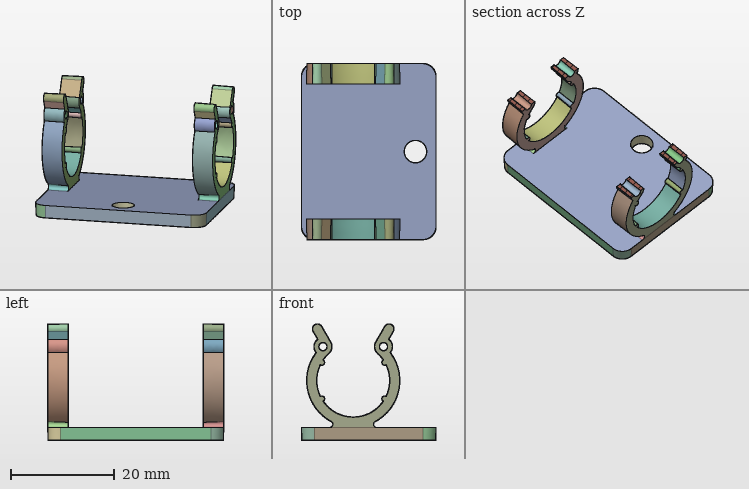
import cadquery as cq
import math

plate_draft = 2
clip_draft = 1

plate_width = 26.0
plate_depth = 34.0
plate_thickness = 2.5
corner_radius = 2.5
mount_hole_diameter = 4.3
mount_hole_x = 9.0

overall_height = 22.47
clip_width = 4.0
clip_end_inset = clip_width * math.tan(math.radians(clip_draft))
clip_x = -3.0
ring_outer_radius = 9.0
ring_inner_radius = 7.0
ring_center_z = plate_thickness + ring_outer_radius
neck_fillet = 0.6

rib_radius = 0.58
rib_angles = (30, 150, 210, 330)

eye_radius = 1.77
eye_hole_diameter = 1.5
eye_angle = 48.3
eye_distance = ring_inner_radius + eye_radius

arm_radius = 1.0
arm_slope = 60


def polar(radius, degrees):
    angle = math.radians(degrees)
    return (radius * math.cos(angle), radius * math.sin(angle))


def shifted(point, offset):
    return (point[0] + offset[0], point[1] + offset[1])


def profile():
    """Inner face of the front clip, centred on the ring axis; extrusions run to its end face."""
    return cq.Workplane("XZ")


def disc(radius, center, taper=clip_draft):
    return profile().center(*center).circle(radius).extrude(clip_width, taper=taper)


def make_plate():
    outline = cq.Sketch().rect(plate_width, plate_depth).vertices().fillet(corner_radius)
    return (
        cq.Workplane("XY", origin=(0, 0, plate_thickness))
        .placeSketch(outline)
        .extrude(-plate_thickness, taper=plate_draft)
        .faces(">Z")
        .workplane(origin=(mount_hole_x, 0, 0))
        .hole(mount_hole_diameter)
    )


def make_ring():
    """Ring open at the top between the two eyes."""
    right_outer = polar(ring_outer_radius, eye_angle)
    left_outer = polar(ring_outer_radius, 180 - eye_angle)
    right_inner = polar(ring_inner_radius, eye_angle)
    left_inner = polar(ring_inner_radius, 180 - eye_angle)
    return (
        profile()
        .moveTo(*right_outer)
        .threePointArc((0, -ring_outer_radius), left_outer)
        .lineTo(*left_inner)
        .threePointArc((0, -ring_inner_radius), right_inner)
        .close()
        .extrude(clip_width, taper=clip_draft)
    )


def make_neck():
    """Foot whose concave sides are tangent to the plate and to the ring at the clip's end."""
    fillet_z = neck_fillet - ring_outer_radius
    ring_end_radius = ring_outer_radius - clip_end_inset
    fillet_x = math.sqrt((ring_end_radius + neck_fillet) ** 2 - fillet_z**2)
    fillet_center = (fillet_x, fillet_z)
    plate_point = (fillet_x, -ring_outer_radius)
    contact_angle = math.degrees(math.atan2(-fillet_z, -fillet_x))
    plate_angle = 270
    ring_point = shifted(fillet_center, polar(neck_fillet, contact_angle))
    middle_point = shifted(fillet_center, polar(neck_fillet, (contact_angle + plate_angle) / 2))
    return (
        profile()
        .moveTo(*plate_point)
        .threePointArc(middle_point, ring_point)
        .lineTo(0, -(ring_inner_radius + ring_outer_radius) / 2)
        .lineTo(-ring_point[0], ring_point[1])
        .threePointArc((-middle_point[0], middle_point[1]), (-plate_point[0], plate_point[1]))
        .close()
        .extrude(clip_width)
    )


def make_right_arm(eye_center):
    """Round-ended arm whose inner side is tangent to the eye."""
    inner_normal = arm_slope + 90
    root = shifted(eye_center, polar(eye_radius - arm_radius, inner_normal))
    tip_z = overall_height - ring_center_z - arm_radius
    length = (tip_z - root[1]) / math.sin(math.radians(arm_slope))
    tip = shifted(root, polar(length, arm_slope))
    side = polar(arm_radius, inner_normal)
    opposite_side = polar(-arm_radius, inner_normal)
    return (
        profile()
        .moveTo(*shifted(root, opposite_side))
        .lineTo(*shifted(tip, opposite_side))
        .threePointArc(shifted(tip, polar(arm_radius, arm_slope)), shifted(tip, side))
        .lineTo(*shifted(root, side))
        .close()
        .extrude(clip_width, taper=clip_draft)
    )


def make_front_clip():
    right_eye = polar(eye_distance, eye_angle)
    left_eye = polar(eye_distance, 180 - eye_angle)
    right_arm = make_right_arm(right_eye)
    clip = make_ring().union(make_neck())
    for angle in rib_angles:
        clip = clip.union(disc(rib_radius, polar(ring_inner_radius, angle)))
    for eye_center in (right_eye, left_eye):
        clip = clip.union(disc(eye_radius, eye_center))
    clip = clip.union(right_arm).union(right_arm.mirror("YZ"))
    for eye_center in (right_eye, left_eye):
        clip = clip.cut(disc(eye_hole_diameter / 2, eye_center, -clip_draft))
    return clip.translate((clip_x, clip_width - plate_depth / 2, ring_center_z))


front_clip = make_front_clip()
back_clip = front_clip.mirror("XZ")
result = make_plate().union(front_clip).union(back_clip)